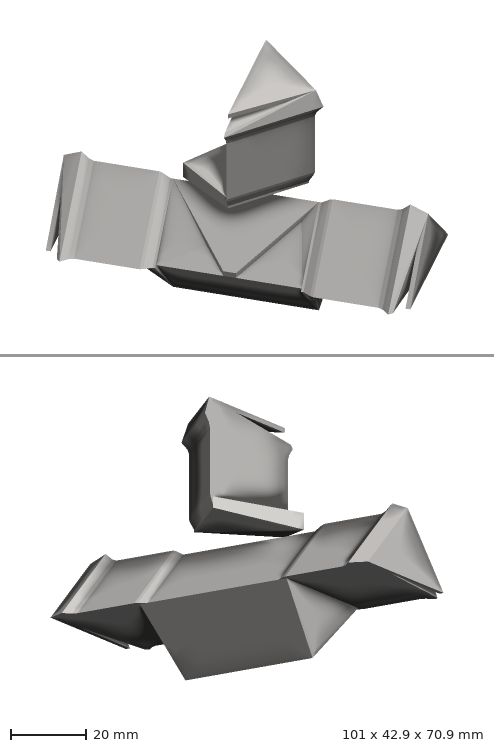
import cadquery as cq


run_length = 101.0
branch_end = 53.4
socket_length = 30.3
pipe_radius = 17.5
wall = 1.5

end_radius = 19.4
flare_radius = 21.46
flare_root_radius = 19.6
sleeve_radius = 19.1
neck_top_radius = 18.8
flare_depth = 4.9
flare_root_depth = 7.1
sleeve_start_depth = 8.4
sleeve_end_depth = 26.5
neck_top_depth = 27.4
neck_bottom_depth = 29.6
end_plate = 1.3
lip_depth = 3.9
lip_radius = 20.5
hood_depth = 27.2
hood_tip_depth = 29.9
spout_drop = 4.6

left_notch_apex = 8.0
right_notch_apex = 16.4

socket_end = run_length / 2
socket_start = socket_end - socket_length
inner_radius = pipe_radius - wall


def polyhedron(*faces):
    """Solid bounded by flat faces, each given by its corner points."""
    outlines = [cq.Wire.makePolygon(corners, close=True) for corners in faces]
    shell = cq.Shell.makeShell([cq.Face.makeFromWires(outline) for outline in outlines])
    return cq.Solid.makeSolid(shell)


def triangle(x, radius, front_radius=None):
    """Half-diamond section across X: flat underneath, with its ridge on top."""
    front = radius if front_radius is None else front_radius
    return cq.Wire.makePolygon([(x, -front, 0), (x, 0, radius), (x, radius, 0)], close=True)


def socket_sleeve():
    """Stepped sleeve from the flare's widest section to the neck."""
    profile = [
        (flare_depth, flare_radius),
        (flare_root_depth, flare_root_radius),
        (sleeve_start_depth, sleeve_radius),
        (sleeve_end_depth, sleeve_radius),
        (neck_top_depth, neck_top_radius),
        (neck_bottom_depth, pipe_radius),
        (socket_length, pipe_radius),
    ]
    sections = [triangle(socket_end - depth, radius) for depth, radius in profile]
    return cq.Solid.makeLoft(sections, True)


def socket_mouth():
    """Flare tapering to the open end, running out to a lip on its front side."""
    flare_x = socket_end - flare_depth
    back_end = (socket_end, end_radius, 0)
    ridge_end = (socket_end, 0, end_radius)
    back = (flare_x, flare_radius, 0)
    ridge = (flare_x, 0, flare_radius)
    front = (flare_x, -flare_radius, 0)
    lip = (socket_end - lip_depth, -lip_radius, 0)
    return polyhedron(
        [back_end, ridge_end, ridge, back],
        [back, ridge, front],
        [ridge_end, ridge, front],
        [ridge_end, front, lip],
        [back_end, ridge_end, lip],
        [back_end, back, front, lip],
    )


def socket_end_plate():
    """Plate across the open end, with a wedge gap between its front and the flare."""
    inner = triangle(socket_end - end_plate, end_radius, pipe_radius)
    outer = triangle(socket_end, end_radius, pipe_radius)
    return cq.Solid.makeLoft([inner, outer], True)


def socket_hood():
    """Sloping hood over the neck on the flat side of the socket."""
    hood_x = socket_end - hood_depth
    top_back = (hood_x, pipe_radius, 0)
    top_front = (hood_x, -pipe_radius, 0)
    back = (socket_start, pipe_radius, 0)
    front = (socket_start, -pipe_radius, 0)
    tip = (socket_end - hood_tip_depth, 0, -inner_radius)
    rim = (socket_start, 0, -pipe_radius)
    return polyhedron(
        [top_back, top_front, tip],
        [top_back, tip, rim],
        [top_front, tip, rim],
        [top_back, rim, back],
        [top_front, rim, front],
        [back, front, rim],
        [top_back, top_front, front, back],
    )


def socket_spout():
    """Wedge hanging from the neck, deepest on the flat side of the socket."""
    back = (socket_start, pipe_radius, 0)
    front = (socket_start, -pipe_radius, 0)
    ridge = (socket_start, 0, pipe_radius)
    rim = (socket_start, 0, -pipe_radius)
    drip_x = socket_start - spout_drop
    drip = (drip_x, 0, -pipe_radius)
    inner_drip = (drip_x, 0, -inner_radius)
    return polyhedron(
        [rim, back, ridge, front],
        [rim, drip, back],
        [rim, drip, front],
        [drip, inner_drip, back],
        [drip, inner_drip, front],
        [inner_drip, back, ridge],
        [inner_drip, front, ridge],
    )


def socket(with_spout=False):
    """One socket, placed at the +X end of the run."""
    parts = [socket_mouth(), socket_end_plate(), socket_hood()]
    if with_spout:
        parts.append(socket_spout())
    return cq.Workplane(socket_sleeve().fuse(*parts).Solids()[0])


def notch(side, apex):
    """Shallow notch beside the saddle; side is -1 for the left and 1 for the right."""
    end_x = side * socket_start
    slope = pipe_radius / socket_start
    root_x = side * wall / slope
    rise = (apex - abs(root_x)) * slope
    ridge = (end_x, 0, pipe_radius)
    saddle = (0, -pipe_radius, 0)
    corner = (end_x, -pipe_radius, 0)
    floor_corner = (end_x, -inner_radius, 0)
    floor_root = (root_x, -inner_radius, 0)
    floor_apex = (side * apex, -inner_radius + rise, rise)
    return polyhedron(
        [ridge, saddle, corner],
        [ridge, corner, floor_corner],
        [ridge, floor_corner, floor_apex],
        [floor_corner, floor_apex, floor_root],
        [ridge, floor_apex, floor_root, saddle],
        [corner, saddle, floor_root, floor_corner],
    )


def centre_body():
    """Diamond bar with a blunt front corner, notched on both sides of the saddle."""
    corners = [
        (pipe_radius, 0),
        (0, pipe_radius),
        (-inner_radius, wall),
        (-inner_radius, 0),
        (0, -pipe_radius),
    ]
    bar = cq.Workplane("YZ").polyline(corners).close().extrude(socket_start, both=True)
    left_notch = cq.Workplane(notch(-1, left_notch_apex))
    right_notch = cq.Workplane(notch(1, right_notch_apex))
    return bar.cut(left_notch).cut(right_notch).solids()


centre = centre_body()
right_socket = socket()
left_socket = socket().mirror("YZ")
branch_socket = (
    socket(with_spout=True)
    .mirror("YZ")
    .rotate((0, 0, 0), (0, 1, 0), 90)
    .translate((0, 0, branch_end - socket_end))
)

result = cq.Compound.makeCompound(
    [centre.val(), right_socket.val(), left_socket.val(), branch_socket.val()]
)